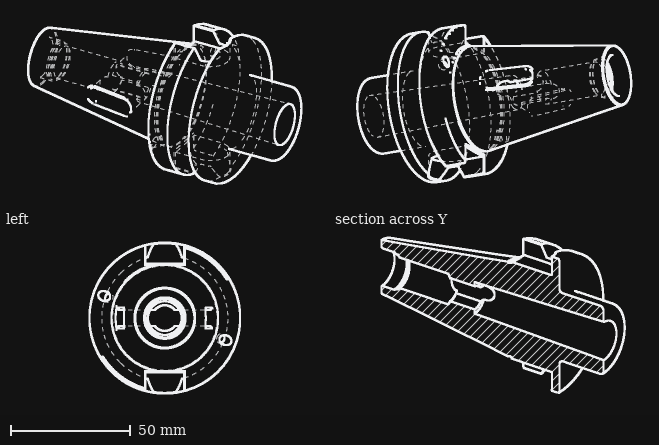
import cadquery as cq
import math

total_length = 115.4
small_end_radius = 12.7
gauge_radius = 22.3
taper_end = 65.7
small_end_chamfer = 0.3
neck_radius = 21.8
neck_start = 66.2
neck_root_fillet = 0.8

flange_start = 67.4
flange_end = 92.4
flange_radius = 31.5
flange_edge_fillet = 1.0
groove_radius = 26.3
groove_start = 76.9
groove_end = 87.0
groove_half_angle = 30.0
groove_fillet = 0.7

nose_radius = 16.0
nose_root_fillet = 1.7
nose_end_fillet = 2.0

drive_slot_width = 16.0
drive_slot_floor = 22.7
drive_slot_end = 88.3
drive_slot_chamfer = 0.7
drive_slot_rim_chamfer = 0.3

drift_slot_start = 31.3
drift_slot_end = 53.3
drift_slot_height = 6.6
drift_slot_fillet = 0.9

mouth_fillet = 0.9
pilot_radius = 8.7
pilot_end = 6.8
pilot_step_end = 8.4
pilot_step_radius = 8.1
thread_radius = 7.0
thread_end = 34.6
passage_radius = 5.3
drill_point_half_angle = 59.0

socket_mouth_radius = 8.9
socket_inner_radius = 7.3
socket_depth = 66.9

coolant_hole_diameter = 4.0
coolant_hole_reach = 26.9
coolant_hole_angle = 20.0
coolant_hole_tilt = 38.0
coolant_hole_depth = 3.5


def revolve_about_x(points):
    """Turn a closed (x, radius) outline about the X axis."""
    outline = cq.Workplane("XY").polyline(points).close()
    return outline.revolve(360, (0, 0, 0), (1, 0, 0))


def round_edge_at(body, x, radius, fillet):
    """Fillet the circular edge centred on the X axis at the given x and radius."""
    tolerance = 0.01
    low = (x - tolerance, -radius - tolerance, -radius - tolerance)
    high = (x + tolerance, radius + tolerance, radius + tolerance)
    edges = body.edges(cq.selectors.BoxSelector(low, high, boundingbox=True))
    edges = edges.filter(lambda edge: abs(edge.radius() - radius) < tolerance)
    return edges.fillet(fillet)


def make_body():
    flank_length = (flange_radius - groove_radius) * math.tan(math.radians(groove_half_angle))
    floor_start = groove_start + flank_length
    floor_end = groove_end - flank_length
    body = revolve_about_x([
        (0, 0),
        (0, small_end_radius - small_end_chamfer),
        (small_end_chamfer, small_end_radius),
        (taper_end, gauge_radius),
        (neck_start, neck_radius),
        (flange_start, neck_radius),
        (flange_start, flange_radius),
        (groove_start, flange_radius),
        (floor_start, groove_radius),
        (floor_end, groove_radius),
        (groove_end, flange_radius),
        (flange_end, flange_radius),
        (flange_end, nose_radius),
        (total_length, nose_radius),
        (total_length, 0),
    ])
    rounded_edges = [
        (flange_start, neck_radius, neck_root_fillet),
        (flange_start, flange_radius, flange_edge_fillet),
        (floor_start, groove_radius, groove_fillet),
        (floor_end, groove_radius, groove_fillet),
        (flange_end, flange_radius, flange_edge_fillet),
        (flange_end, nose_radius, nose_root_fillet),
        (total_length, nose_radius, nose_end_fillet),
    ]
    for x, radius, fillet in rounded_edges:
        body = round_edge_at(body, x, radius, fillet)
    return body


def cut_drift_slot(body):
    length = drift_slot_end - drift_slot_start
    middle = (drift_slot_start + drift_slot_end) / 2
    slot = (
        cq.Workplane("XZ")
        .center(middle, 0)
        .slot2D(length, drift_slot_height)
        .extrude(gauge_radius, both=True)
    )
    margin = 1.2
    low = (drift_slot_start - margin, -gauge_radius, -drift_slot_height)
    high = (drift_slot_end + margin, gauge_radius, drift_slot_height)
    around_slot = cq.selectors.BoxSelector(low, high, boundingbox=True)
    return body.cut(slot).edges(around_slot).edges("not #XZ").fillet(drift_slot_fillet)


def make_drive_slot():
    """Round-ended slot above its flat floor, with a bevel where the floor meets the flange face."""
    half_width = drive_slot_width / 2
    arc_centre = drive_slot_end - half_width
    slot = (
        cq.Workplane("XY")
        .workplane(offset=drive_slot_floor)
        .moveTo(flange_start, -half_width)
        .lineTo(arc_centre, -half_width)
        .threePointArc((drive_slot_end, 0), (arc_centre, half_width))
        .lineTo(flange_start, half_width)
        .close()
        .extrude(flange_radius - drive_slot_floor)
    )
    bevel = (
        cq.Workplane("XZ")
        .polyline([
            (flange_start, drive_slot_floor),
            (flange_start, drive_slot_floor - drive_slot_chamfer),
            (flange_start + drive_slot_chamfer, drive_slot_floor),
        ])
        .close()
        .extrude(half_width, both=True)
    )
    return slot.union(bevel)


def bevel_drive_slot_rims(body):
    """Bevel the slot edges that lie on the outer cylinder of the flange."""
    half_width = drive_slot_width / 2
    corner_height = math.sqrt(flange_radius ** 2 - half_width ** 2)
    margin = 0.1
    for side in (1, -1):
        low = (flange_start, -half_width - margin, side * (corner_height - margin))
        high = (drive_slot_end + margin, half_width + margin, side * (flange_radius + margin))
        rim = cq.selectors.BoxSelector(low, high, boundingbox=True)
        body = body.edges(rim).chamfer(drive_slot_rim_chamfer)
    return body


def make_draw_bar_bore():
    drill_point_length = (thread_radius - passage_radius) / math.tan(math.radians(drill_point_half_angle))
    return revolve_about_x([
        (0, 0),
        (0, pilot_radius),
        (pilot_end, pilot_radius),
        (pilot_end + pilot_radius - pilot_step_radius, pilot_step_radius),
        (pilot_step_end, pilot_step_radius),
        (pilot_step_end + pilot_step_radius - thread_radius, thread_radius),
        (thread_end, thread_radius),
        (thread_end + drill_point_length, passage_radius),
        (total_length, passage_radius),
        (total_length, 0),
    ])


def make_socket():
    socket_end = total_length - socket_depth
    return revolve_about_x([
        (socket_end, 0),
        (socket_end, socket_inner_radius),
        (total_length, socket_mouth_radius),
        (total_length, 0),
    ])


def make_coolant_hole():
    """Hole entering the flange face and leaning toward the X axis as it goes deeper."""
    tilt = math.radians(coolant_hole_tilt)
    direction = cq.Vector(math.cos(tilt), -math.sin(tilt), 0)
    overshoot = coolant_hole_diameter
    entry = cq.Vector(flange_start, coolant_hole_reach, 0)
    hole = cq.Solid.makeCylinder(
        coolant_hole_diameter / 2,
        coolant_hole_depth + overshoot,
        entry - direction * overshoot,
        direction,
    )
    return cq.Workplane(hole).rotate((0, 0, 0), (1, 0, 0), coolant_hole_angle)


body = cut_drift_slot(make_body())
body = round_edge_at(body.cut(make_draw_bar_bore()), 0, pilot_radius, mouth_fillet)
body = body.cut(make_socket())
drive_slot = make_drive_slot()
coolant_hole = make_coolant_hole()
for turn in (0, 180):
    body = body.cut(drive_slot.rotate((0, 0, 0), (1, 0, 0), turn))
    body = body.cut(coolant_hole.rotate((0, 0, 0), (1, 0, 0), turn))

result = bevel_drive_slot_rims(body)